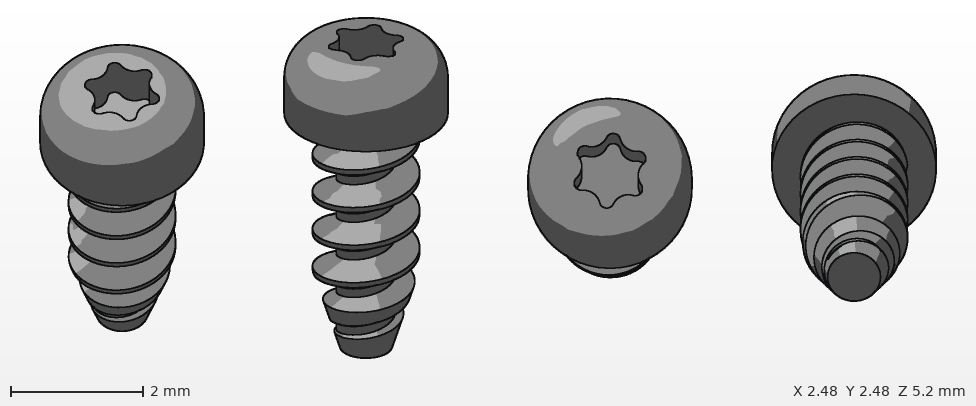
import cadquery as cq
import math

HEAD_RADIUS = 1.24
HEAD_HEIGHT = 1.2
HEAD_EDGE_RADIUS = 0.6

LOBE_COUNT = 6
LOBE_TIP_DIAMETER = 1.16
LOBE_VALLEY_DIAMETER = 0.86
LOBE_TIP_ROUND = 0.11
RECESS_DEPTH = 0.7

SHANK_LENGTH = 4.0
CORE_RADIUS = 0.45
THREAD_RADIUS = 0.81
PITCH = 0.645
CREST_WIDTH = 0.085
FLANK_ANGLE = 30.0
CREST_HEIGHT_AT_X_AXIS = -0.55
ROOT_OVERLAP = 0.05

ENVELOPE_RADIUS = 0.94
SHANK_EMBED = 0.3

TIP_RADIUS = 0.40
TIP_SLOPE = 0.31


def make_head():
    blank = cq.Workplane("XY").circle(HEAD_RADIUS).extrude(HEAD_HEIGHT)
    return blank.faces(">Z").edges().fillet(HEAD_EDGE_RADIUS)


def polar(radius, angle):
    return (radius * math.cos(angle), radius * math.sin(angle))


def make_recess():
    """Six-lobe prism: tip arcs and valley arcs meeting tangentially, one tip on +Y."""
    half_step = math.pi / LOBE_COUNT
    valley_radius = LOBE_VALLEY_DIAMETER / 2
    tip_radius = LOBE_TIP_DIAMETER / 2
    tip_centre = tip_radius - LOBE_TIP_ROUND

    cosine = math.cos(half_step)
    numerator = (
        LOBE_TIP_ROUND**2 - tip_centre**2 - valley_radius**2 + 2 * tip_centre * valley_radius * cosine
    )
    denominator = 2 * (valley_radius - tip_centre * cosine - LOBE_TIP_ROUND)
    valley_round = numerator / denominator
    valley_centre = valley_radius + valley_round

    share = LOBE_TIP_ROUND / (LOBE_TIP_ROUND + valley_round)
    along = tip_centre + share * (valley_centre * cosine - tip_centre)
    across = share * valley_centre * math.sin(half_step)
    joint_radius = math.hypot(along, across)
    joint_angle = math.atan2(across, along)

    first_tip = math.pi / 2
    outline = cq.Workplane("XY", origin=(0, 0, HEAD_HEIGHT - RECESS_DEPTH))
    outline = outline.moveTo(*polar(joint_radius, first_tip - joint_angle))
    for lobe in range(LOBE_COUNT):
        tip = first_tip + 2 * half_step * lobe
        valley = tip + half_step
        next_tip = valley + half_step
        outline = outline.threePointArc(polar(tip_radius, tip), polar(joint_radius, tip + joint_angle))
        outline = outline.threePointArc(
            polar(valley_radius, valley), polar(joint_radius, next_tip - joint_angle)
        )
    return outline.close().extrude(RECESS_DEPTH)


def make_core():
    return cq.Workplane("XY").workplane(offset=-SHANK_LENGTH).circle(CORE_RADIUS).extrude(SHANK_LENGTH)


def make_thread():
    """Right-hand trapezoidal ridge, starting inside the head and running out past the tip."""
    inner_radius = CORE_RADIUS - ROOT_OVERLAP
    crest_half = CREST_WIDTH / 2
    root_half = crest_half + (THREAD_RADIUS - inner_radius) * math.tan(math.radians(FLANK_ANGLE))

    turns_below = math.ceil((SHANK_LENGTH + CREST_HEIGHT_AT_X_AXIS + root_half) / PITCH)
    turns_above = math.ceil((root_half - CREST_HEIGHT_AT_X_AXIS) / PITCH)
    start = CREST_HEIGHT_AT_X_AXIS - turns_below * PITCH
    helix_height = (turns_below + turns_above) * PITCH

    corners = [
        cq.Vector(inner_radius, 0, start - root_half),
        cq.Vector(THREAD_RADIUS, 0, start - crest_half),
        cq.Vector(THREAD_RADIUS, 0, start + crest_half),
        cq.Vector(inner_radius, 0, start + root_half),
    ]
    helices = [
        cq.Wire.makeHelix(PITCH, helix_height, corner.x, center=cq.Vector(0, 0, corner.z))
        for corner in corners
    ]
    sides = [
        cq.Face.makeRuledSurface(helix, helices[(index + 1) % len(helices)])
        for index, helix in enumerate(helices)
    ]
    lower_end = cq.Face.makeFromWires(cq.Wire.makePolygon(corners, close=True))
    upper_end = lower_end.moved(cq.Location(cq.Vector(0, 0, helix_height)))
    shell = cq.Shell.makeShell(sides + [lower_end, upper_end])
    return cq.Workplane(cq.Solid.makeSolid(shell))


def make_shank_envelope():
    """Space the shank fills: a cone from the blunt tip, then straight up into the head."""
    taper_height = (ENVELOPE_RADIUS - TIP_RADIUS) / TIP_SLOPE
    return (
        cq.Workplane("XZ")
        .moveTo(0, -SHANK_LENGTH)
        .lineTo(TIP_RADIUS, -SHANK_LENGTH)
        .lineTo(ENVELOPE_RADIUS, taper_height - SHANK_LENGTH)
        .lineTo(ENVELOPE_RADIUS, SHANK_EMBED)
        .lineTo(0, SHANK_EMBED)
        .close()
        .revolve(360, (0, 0, 0), (0, 1, 0))
    )


shank = make_core().union(make_thread()).intersect(make_shank_envelope())
result = make_head().union(shank).cut(make_recess())